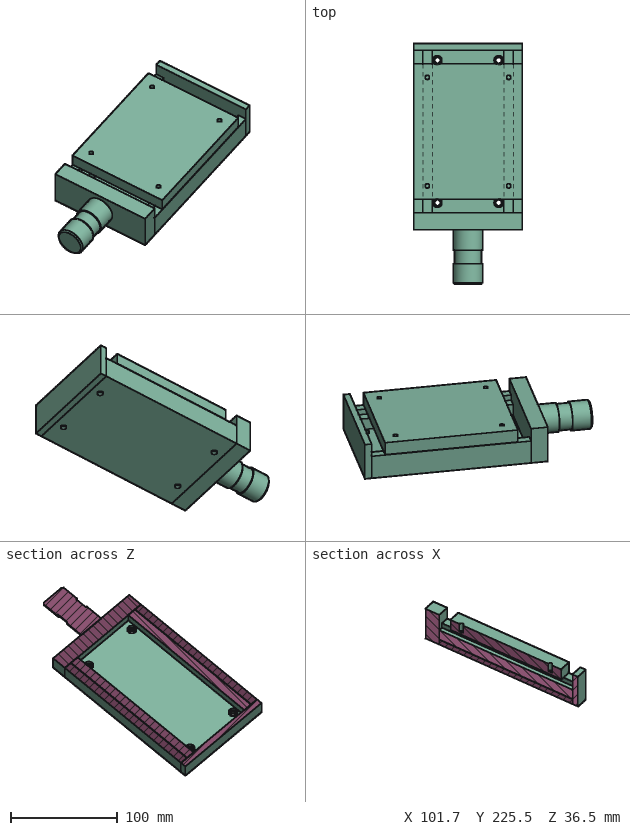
import cadquery as cq

WIDTH = 101.7
LENGTH = 225.5
HEIGHT = 36.5

REAR_PLATE_LENGTH = 6.3
FRONT_PLATE_LENGTH = 16.0
BASE_LENGTH = 152.5
BASE_HEIGHT = 23.5
WALL_THICKNESS = 8.5
FLOOR_THICKNESS = 6.8

MOUNT_SPACING_X = 57.3
MOUNT_SPACING_Y = 133.5
MOUNT_HOLE_DIAMETER = 5.5
COUNTERBORE_DIAMETER = 8.5
COUNTERBORE_DEPTH = 3.4

RAIL_WIDTH = 8.8
RAIL_HEIGHT = 11.3

TABLE_LENGTH = 127.0
TABLE_THICKNESS = 12.6
TABLE_REAR_GAP = 12.8
TABLE_HOLE_SPACING_X = 76.2
TABLE_HOLE_SPACING_Y = 101.7
TABLE_HOLE_DIAMETER = 4.0
TABLE_HOLE_DEPTH = 9.0

KNOB_DIAMETER = 27.7
NECK_DIAMETER = 25.5
SLEEVE_LENGTH = 19.0
GRIP_LENGTH = 19.2
GRIP_CHAMFER = 1.47
KNOB_AXIS_HEIGHT = HEIGHT / 2

REAR_Y = LENGTH / 2
BASE_REAR_Y = REAR_Y - REAR_PLATE_LENGTH
BASE_FRONT_Y = BASE_REAR_Y - BASE_LENGTH
FRONT_PLATE_Y = BASE_FRONT_Y - FRONT_PLATE_LENGTH
BASE_CENTER_Y = (BASE_REAR_Y + BASE_FRONT_Y) / 2
TABLE_REAR_Y = BASE_REAR_Y - TABLE_REAR_GAP
TABLE_FRONT_Y = TABLE_REAR_Y - TABLE_LENGTH
NECK_REAR_Y = FRONT_PLATE_Y - SLEEVE_LENGTH
KNOB_END_Y = -LENGTH / 2
NECK_FRONT_Y = KNOB_END_Y + GRIP_LENGTH

CHANNEL_WIDTH = WIDTH - 2 * WALL_THICKNESS


def block(width, front_y, length, bottom_z, height, center_x=0):
    """A box given by its front face, its underside and its middle in X."""
    return (
        cq.Workplane("XY")
        .box(width, length, height, centered=(True, False, False))
        .translate((center_x, front_y, bottom_z))
    )


def make_base():
    """A U-shaped channel with four counterbored mounting holes in its floor."""
    base = block(WIDTH, BASE_FRONT_Y, BASE_LENGTH, 0, BASE_HEIGHT)
    channel = block(CHANNEL_WIDTH, BASE_FRONT_Y, BASE_LENGTH, FLOOR_THICKNESS, BASE_HEIGHT)
    return (
        base.cut(channel)
        .copyWorkplane(cq.Workplane("XY", origin=(0, BASE_CENTER_Y, FLOOR_THICKNESS)))
        .rarray(MOUNT_SPACING_X, MOUNT_SPACING_Y, 2, 2)
        .cboreHole(MOUNT_HOLE_DIAMETER, COUNTERBORE_DIAMETER, COUNTERBORE_DEPTH, FLOOR_THICKNESS)
    )


def make_rail(side):
    """A guide rail on the channel floor against one wall; side is -1 or +1 in X."""
    center_x = side * (CHANNEL_WIDTH - RAIL_WIDTH) / 2
    return block(RAIL_WIDTH, BASE_FRONT_Y, BASE_LENGTH, FLOOR_THICKNESS, RAIL_HEIGHT, center_x)


def make_table():
    """The sliding top plate with four blind holes."""
    plate = block(WIDTH, TABLE_FRONT_Y, TABLE_LENGTH, HEIGHT - TABLE_THICKNESS, TABLE_THICKNESS)
    center_y = (TABLE_REAR_Y + TABLE_FRONT_Y) / 2
    return (
        plate.copyWorkplane(cq.Workplane("XY", origin=(0, center_y, HEIGHT)))
        .rarray(TABLE_HOLE_SPACING_X, TABLE_HOLE_SPACING_Y, 2, 2)
        .hole(TABLE_HOLE_DIAMETER, TABLE_HOLE_DEPTH)
    )


def make_knob():
    """A round knob with a grooved neck, turned about an axis along Y, chamfered at its free end."""
    axis = cq.Workplane("XY", origin=(0, 0, KNOB_AXIS_HEIGHT))
    knob_radius = KNOB_DIAMETER / 2
    neck_radius = NECK_DIAMETER / 2
    profile = axis.polyline(
        [
            (0, FRONT_PLATE_Y),
            (-knob_radius, FRONT_PLATE_Y),
            (-knob_radius, NECK_REAR_Y),
            (-neck_radius, NECK_REAR_Y),
            (-neck_radius, NECK_FRONT_Y),
            (-knob_radius, NECK_FRONT_Y),
            (-knob_radius, KNOB_END_Y + GRIP_CHAMFER),
            (-knob_radius + GRIP_CHAMFER, KNOB_END_Y),
            (0, KNOB_END_Y),
        ]
    ).close()
    return profile.revolve(360, (0, 0, 0), (0, 1, 0))


rear_plate = block(WIDTH, BASE_REAR_Y, REAR_PLATE_LENGTH, 0, HEIGHT)
front_plate = block(WIDTH, FRONT_PLATE_Y, FRONT_PLATE_LENGTH, 0, HEIGHT)
base = make_base()
rails = [make_rail(side) for side in (-1, 1)]
table = make_table()
knob = make_knob()

result = cq.Compound.makeCompound(
    [
        rear_plate.val(),
        front_plate.val(),
        base.val(),
        *[rail.val() for rail in rails],
        table.val(),
        knob.val(),
    ]
)